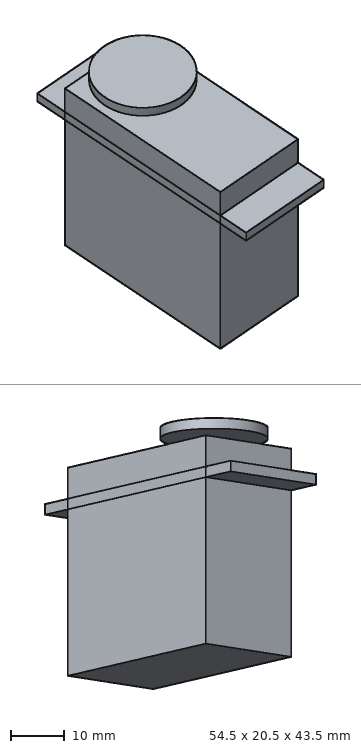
import cadquery as cq

case_length = 40.55
case_depth = 20.5
lower_height = 31.45
upper_height = 5.9

total_length = 54.5
left_ear_length = 7.25
right_ear_length = total_length - left_ear_length - case_length
plate_thickness = 2.0

horn_diameter = 20.0
horn_thickness = 2.0
total_height = 43.5
horn_margin = 0.15

ear_level = lower_height
upper_level = ear_level + plate_thickness
horn_level = total_height - horn_thickness
horn_x = horn_margin + horn_diameter / 2


def make_block(start_x, length, level, height):
    """Full-depth block from start_x along X, standing on the given level."""
    return (
        cq.Workplane("XY")
        .box(length, case_depth, height, centered=(False, True, False))
        .translate((start_x, 0, level))
    )


def make_horn():
    """Round output horn with its axis along Z."""
    return (
        cq.Workplane("XY", origin=(horn_x, 0, horn_level))
        .circle(horn_diameter / 2)
        .extrude(horn_thickness)
    )


lower_case = make_block(0, case_length, 0, lower_height)
middle_case = make_block(0, case_length, ear_level, plate_thickness)
upper_case = make_block(0, case_length, upper_level, upper_height)
left_ear = make_block(-left_ear_length, left_ear_length, ear_level, plate_thickness)
right_ear = make_block(case_length, right_ear_length, ear_level, plate_thickness)
horn = make_horn()

result = cq.Compound.makeCompound(
    [
        lower_case.val(),
        middle_case.val(),
        upper_case.val(),
        left_ear.val(),
        right_ear.val(),
        horn.val(),
    ]
)